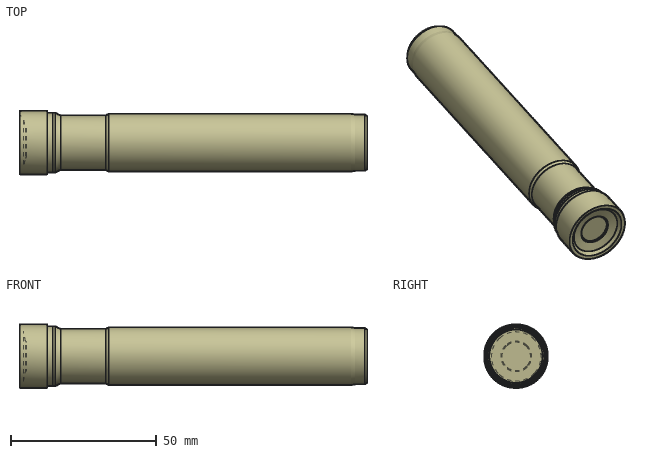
import cadquery as cq

total_length = 119.9
cap_diameter = 22.1
collar_diameter = 20.7
neck_diameter = 19.0
barrel_diameter = 20.0
tail_diameter = 19.5

head_length = 9.6
cap_length = 11.4
head_chamfer_length = 0.5
head_chamfer_drop = 0.1
mouth_radius = 9.6
cone_outer_radius = 8.5
cone_inner_radius = 5.3
floor_radius = 4.9
rim_dish_depth = 0.1
mouth_depth = 1.2
cone_depth = 1.9
floor_depth = 2.3

collar_end = 12.4
shoulder_break = 13.4
neck_start = 14.1
neck_end = 29.7
barrel_start = 30.8
barrel_end = 114.3
tail_start = 115.7
tail_chamfer_length = 1.0
tail_chamfer_drop = 0.6
shoulder_break_radius = 9.7


def revolve_about_x(points):
    """Revolve a closed profile of (x, radius) points about the X axis."""
    profile = cq.Workplane("XY").polyline(points).close()
    return profile.revolve(360, (0, 0, 0), (1, 0, 0))


def make_cap():
    """Stepped cap whose open end has a dished rim, steep mouth, shallow cone and flat floor."""
    cap_radius = cap_diameter / 2
    collar_radius = collar_diameter / 2
    return revolve_about_x([
        (floor_depth, 0),
        (floor_depth, floor_radius),
        (cone_depth, cone_inner_radius),
        (mouth_depth, cone_outer_radius),
        (rim_dish_depth, mouth_radius),
        (0, cap_radius - head_chamfer_drop),
        (head_chamfer_length, cap_radius),
        (head_length - head_chamfer_length, cap_radius),
        (head_length, cap_radius - head_chamfer_drop),
        (head_length, collar_radius),
        (cap_length, collar_radius),
        (cap_length, 0),
    ])


def make_barrel():
    """Solid barrel: collar, tapered shoulder, neck, main length and chamfered tail."""
    collar_radius = collar_diameter / 2
    neck_radius = neck_diameter / 2
    barrel_radius = barrel_diameter / 2
    tail_radius = tail_diameter / 2
    return revolve_about_x([
        (cap_length, 0),
        (cap_length, collar_radius),
        (collar_end, collar_radius),
        (shoulder_break, shoulder_break_radius),
        (neck_start, neck_radius),
        (neck_end, neck_radius),
        (barrel_start, barrel_radius),
        (barrel_end, barrel_radius),
        (tail_start, tail_radius),
        (total_length - tail_chamfer_length, tail_radius),
        (total_length, tail_radius - tail_chamfer_drop),
        (total_length, 0),
    ])


cap = make_cap()
barrel = make_barrel()

result = cq.Compound.makeCompound([cap.val(), barrel.val()])